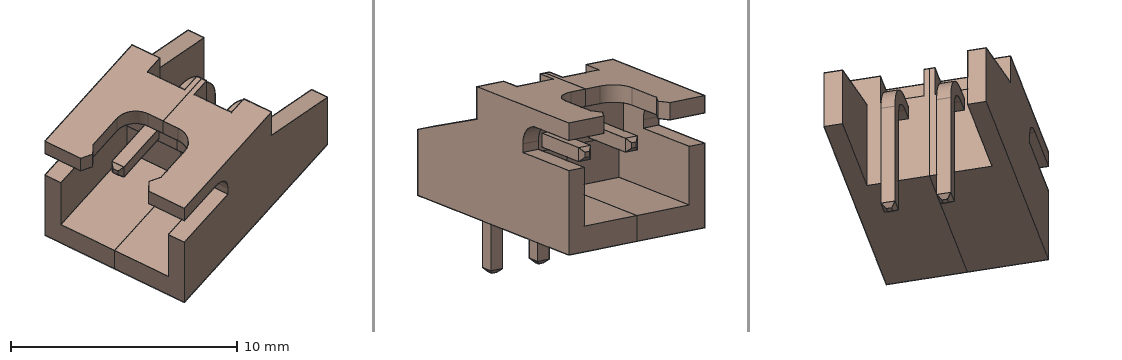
import cadquery as cq
import math


total_width = 7.4
total_depth = 11.5
total_height = 9.5
housing_height = 6.1
block_depth = 7.0
half_width = total_width / 2
side_wall = 0.85
floor_thickness = 1.2
roof_thickness = 0.8

arm_front_height = 4.59
arm_rear_height = housing_height / 2
arm_slope = (arm_rear_height - arm_front_height) / (total_depth - block_depth)

cavity_half_width = half_width - side_wall
cavity_top = housing_height - roof_thickness
cavity_step_height = (floor_thickness + cavity_top) / 2
cavity_upper_depth = 5.0
cavity_lower_depth = 5.32

window_radius = 1.0
side_window_bottom = 3.9
side_window_depth = 3.5
roof_window_half_width = 1.79
roof_window_depth = 3.9
catch_length = 1.0
catch_height = 0.3

notch_offset = 0.25
notch_width = 1.98
notch_depth = 1.0

pin_pitch = 2.54
pin_size = 0.64
pin_level = 3.75
pin_front = 2.0
pin_rear = 9.52
pin_bottom = housing_height - total_height
pin_bend_radius = 1.9
pin_tip_chamfer = 0.2


def arc_midpoint(center_a, center_b, radius):
    """Middle of the quarter arc that lies on the positive side of its center in both directions."""
    reach = radius * math.sqrt(0.5)
    return center_a + reach, center_b + reach


def make_blank():
    """Side outline of block and arms, with the space between the arms removed."""
    blank = (
        cq.Workplane("YZ")
        .polyline([
            (0, 0),
            (total_depth, 0),
            (total_depth, arm_rear_height),
            (block_depth, arm_front_height),
            (block_depth, housing_height),
            (0, housing_height),
        ])
        .close()
        .extrude(half_width)
    )
    arm_gap = cq.Workplane("XY").box(
        cavity_half_width, total_depth - block_depth, housing_height, centered=False
    ).translate((0, block_depth, 0))
    return blank.cut(arm_gap)


def make_cavity():
    """Stepped pocket that opens at the mating face."""
    return (
        cq.Workplane("YZ")
        .polyline([
            (0, floor_thickness),
            (cavity_lower_depth, floor_thickness),
            (cavity_lower_depth, cavity_step_height),
            (cavity_upper_depth, cavity_step_height),
            (cavity_upper_depth, cavity_top),
            (0, cavity_top),
        ])
        .close()
        .extrude(cavity_half_width)
    )


def make_side_window():
    """Opening through the side wall, rounded at its upper inner corner."""
    arc_y = side_window_depth - window_radius
    arc_z = cavity_top - window_radius
    return (
        cq.Workplane("YZ", origin=(cavity_half_width, 0, 0))
        .moveTo(0, side_window_bottom)
        .lineTo(side_window_depth, side_window_bottom)
        .lineTo(side_window_depth, arc_z)
        .threePointArc(arc_midpoint(arc_y, arc_z, window_radius), (arc_y, cavity_top))
        .lineTo(0, cavity_top)
        .close()
        .extrude(side_wall)
    )


def make_roof_window():
    """Half of the opening through the roof, narrowed by a pointed catch at its mouth."""
    arc_x = roof_window_half_width - window_radius
    arc_y = roof_window_depth - window_radius
    return (
        cq.Workplane("XY", origin=(0, 0, cavity_top))
        .lineTo(roof_window_half_width, 0)
        .lineTo(roof_window_half_width - catch_height, catch_length / 2)
        .lineTo(roof_window_half_width, catch_length)
        .lineTo(roof_window_half_width, arc_y)
        .threePointArc(arc_midpoint(arc_x, arc_y, window_radius), (arc_x, roof_window_depth))
        .lineTo(0, roof_window_depth)
        .close()
        .extrude(roof_thickness)
    )


def make_rear_notch():
    """Notch whose floor carries on the slope of the arms."""
    notch_front = block_depth - notch_depth
    return (
        cq.Workplane("YZ", origin=(notch_offset, 0, 0))
        .polyline([
            (block_depth, arm_front_height),
            (block_depth, housing_height),
            (notch_front, housing_height),
            (notch_front, arm_front_height - arm_slope * notch_depth),
        ])
        .close()
        .extrude(notch_width)
    )


def make_pin():
    """Square pin bent down behind the block, chamfered at both tips."""
    top = pin_level + pin_size / 2
    underside = top - pin_size
    leg_front = pin_rear - pin_size
    bend_y = pin_rear - pin_bend_radius
    bend_z = top - pin_bend_radius
    inner_radius = pin_bend_radius - pin_size
    return (
        cq.Workplane("YZ", origin=((pin_pitch - pin_size) / 2, 0, 0))
        .moveTo(pin_front, underside)
        .lineTo(pin_front, top)
        .lineTo(bend_y, top)
        .threePointArc(arc_midpoint(bend_y, bend_z, pin_bend_radius), (pin_rear, bend_z))
        .lineTo(pin_rear, pin_bottom)
        .lineTo(leg_front, pin_bottom)
        .lineTo(leg_front, bend_z)
        .threePointArc(arc_midpoint(bend_y, bend_z, inner_radius), (bend_y, underside))
        .close()
        .extrude(pin_size)
        .faces("<Y").chamfer(pin_tip_chamfer)
        .faces("<Z").chamfer(pin_tip_chamfer)
    )


def make_header_half():
    """One half of the header, at +X, with its pin."""
    half = make_blank().cut(make_cavity())
    half = half.cut(make_side_window())
    half = half.cut(make_roof_window())
    half = half.cut(make_rear_notch())
    return half.union(make_pin())


right_half = make_header_half()
left_half = right_half.mirror("YZ")

result = cq.Compound.makeCompound([left_half.val(), right_half.val()])